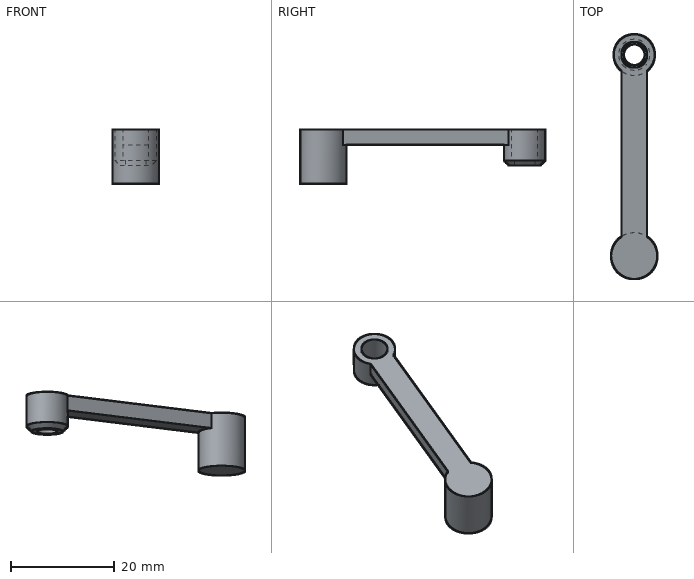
import cadquery as cq

length = 47.4
height = 10.5

post_diameter = 9.0
boss_diameter = 8.0
boss_height = 7.0
boss_chamfer = 1.0

bore_diameter = 5.0
hole_diameter = 4.0
lip_thickness = 1.0
bore_depth = boss_height - lip_thickness

arm_width = 5.0
arm_thickness = 3.0

boss_y = length - post_diameter / 2 - boss_diameter / 2


def round_column(y, diameter, column_height):
    """Cylinder hanging down from the common top face."""
    return (
        cq.Workplane("XY", origin=(0, y, height))
        .circle(diameter / 2)
        .extrude(-column_height)
    )


post = round_column(0, post_diameter, height)
boss = round_column(boss_y, boss_diameter, boss_height).faces("<Z").chamfer(boss_chamfer)

arm = (
    cq.Workplane("XY", origin=(0, boss_y / 2, height))
    .rect(arm_width, boss_y)
    .extrude(-arm_thickness)
)

bore = round_column(boss_y, bore_diameter, bore_depth)
through_hole = round_column(boss_y, hole_diameter, boss_height)

result = post.union(arm).union(boss).cut(bore).cut(through_hole)